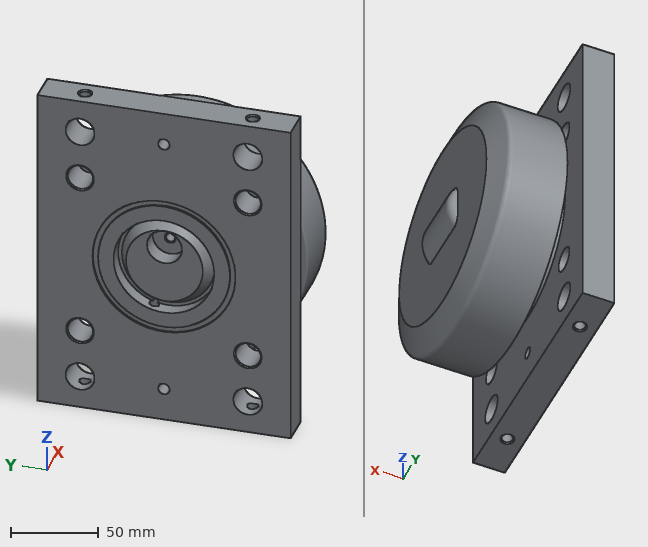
import cadquery as cq

PLATE_THICKNESS = 20.0
PLATE_WIDTH = 151.0
PLATE_HEIGHT = 200.0
HOLE_SPACING_Y = 100.0
CORNER_HOLE_SPACING_Z = 160.0
TAPPED_HOLE_SPACING_Z = 100.0
CORNER_HOLE_DIAMETER = 17.2
TAPPED_HOLE_DIAMETER = 15.0
TAPPED_HOLE_CHAMFER = 0.8
DOWEL_HOLE_DIAMETER = 6.8
SET_SCREW_DIAMETER = 6.5
SET_SCREW_CHAMFER = 0.8

HUB_DIAMETER = 103.2
COLLAR_START = 28.0
COLLAR_DIAMETER = 108.8
ROLLER_START = 29.5
ROLLER_DIAMETER = 153.8
ROLLER_CONE_START = 66.0
ROLLER_END = 73.2
ROLLER_END_DIAMETER = 120.5
ROLLER_BACK_FILLET = 1.2
ROLLER_SHOULDER_FILLET = 3.0

OVERALL_DEPTH = 78.5
SIDE_ROLLER_RADIUS = 25.5
SIDE_ROLLER_WIDTH = 41.5
SIDE_ROLLER_FILLET = 5.0

GROOVE_OUTER_DIAMETER = 85.2
GROOVE_INNER_DIAMETER = 78.5
GROOVE_DEPTH = 1.2
POCKET_DIAMETER = 60.0
POCKET_DEPTH = 9.0
BOSS_BASE_DIAMETER = 55.5
BOSS_TOP_DIAMETER = 45.8
BOSS_TOP_RECESS = 1.0

WALL_HOLE_DIAMETER = 5.5
WALL_HOLE_X = 6.5
WALL_HOLE_DEPTH = 8.0
WALL_HOLE_ANGLE = 15.0

LUBE_OFFSET_Z = 12.2
LUBE_BORE_DIAMETER = 20.8
LUBE_BORE_DEPTH = 11.5
LUBE_DUCT_DIAMETER = 5.5
LUBE_DUCT_DEPTH = 10.0
LUBE_DUCT_CHAMFER = 0.5
LUBE_DUCT_TIP = 1.5


def revolve_about_x(profile):
    """Turn a closed list of (x, radius) points about the X axis."""
    return cq.Workplane("XY").polyline(profile).close().revolve(360, (0, 0, 0), (1, 0, 0))


def x_cylinder(diameter, start, end):
    return cq.Workplane("YZ").workplane(offset=start).circle(diameter / 2).extrude(end - start)


def make_plate():
    return cq.Workplane("XY").box(
        PLATE_THICKNESS, PLATE_WIDTH, PLATE_HEIGHT, centered=(False, True, True)
    )


def make_roller():
    blank = revolve_about_x([
        (ROLLER_START, 0),
        (ROLLER_START, ROLLER_DIAMETER / 2),
        (ROLLER_CONE_START, ROLLER_DIAMETER / 2),
        (ROLLER_END, ROLLER_END_DIAMETER / 2),
        (ROLLER_END, 0),
    ])
    rounded_back = blank.edges("%CIRCLE").edges("<X").fillet(ROLLER_BACK_FILLET)
    return rounded_back.edges("%CIRCLE").edges(">>X[-2]").fillet(ROLLER_SHOULDER_FILLET)


def make_side_roller():
    return (
        cq.Workplane("XZ")
        .center(OVERALL_DEPTH - SIDE_ROLLER_RADIUS, 0)
        .circle(SIDE_ROLLER_RADIUS)
        .extrude(SIDE_ROLLER_WIDTH / 2, both=True)
        .edges("%CIRCLE")
        .fillet(SIDE_ROLLER_FILLET)
    )


def make_tapped_hole():
    """Through hole for the plate with a small countersink at the back face."""
    radius = TAPPED_HOLE_DIAMETER / 2
    return revolve_about_x([
        (0, 0),
        (0, radius + TAPPED_HOLE_CHAMFER),
        (TAPPED_HOLE_CHAMFER, radius),
        (PLATE_THICKNESS, radius),
        (PLATE_THICKNESS, 0),
    ])


def make_set_screw_hole():
    """Countersunk hole along Z, from the top edge of the plate to the axis of a corner hole."""
    radius = SET_SCREW_DIAMETER / 2
    edge_z = PLATE_HEIGHT / 2
    return (
        cq.Workplane("XZ")
        .polyline([
            (0, CORNER_HOLE_SPACING_Z / 2),
            (radius, CORNER_HOLE_SPACING_Z / 2),
            (radius, edge_z - SET_SCREW_CHAMFER),
            (radius + SET_SCREW_CHAMFER, edge_z),
            (0, edge_z),
        ])
        .close()
        .revolve(360, (0, 0, 0), (0, 1, 0))
        .translate((PLATE_THICKNESS / 2, 0, 0))
    )


def cut_plate_holes(body):
    corner_hole = x_cylinder(CORNER_HOLE_DIAMETER, 0, PLATE_THICKNESS)
    dowel_hole = x_cylinder(DOWEL_HOLE_DIAMETER, 0, PLATE_THICKNESS)
    tapped_hole = make_tapped_hole()
    top_screw_hole = make_set_screw_hole()
    bottom_screw_hole = top_screw_hole.mirror("XY")
    for z_side in (-1, 1):
        corner_z = z_side * CORNER_HOLE_SPACING_Z / 2
        tapped_z = z_side * TAPPED_HOLE_SPACING_Z / 2
        screw_hole = top_screw_hole if z_side > 0 else bottom_screw_hole
        body = body.cut(dowel_hole.translate((0, 0, corner_z)))
        for y_side in (-1, 1):
            y = y_side * HOLE_SPACING_Y / 2
            body = body.cut(corner_hole.translate((0, y, corner_z)))
            body = body.cut(tapped_hole.translate((0, y, tapped_z)))
            body = body.cut(screw_hole.translate((0, y, 0)))
    return body


def make_ring_groove():
    outer = x_cylinder(GROOVE_OUTER_DIAMETER, 0, GROOVE_DEPTH)
    return outer.cut(x_cylinder(GROOVE_INNER_DIAMETER, 0, GROOVE_DEPTH))


def make_pocket():
    """Round pocket that leaves a tapered boss standing on its floor."""
    boss = revolve_about_x([
        (BOSS_TOP_RECESS, 0),
        (BOSS_TOP_RECESS, BOSS_TOP_DIAMETER / 2),
        (POCKET_DEPTH, BOSS_BASE_DIAMETER / 2),
        (POCKET_DEPTH, 0),
    ])
    return x_cylinder(POCKET_DIAMETER, 0, POCKET_DEPTH).cut(boss)


def make_wall_hole():
    """Radial hole from the pocket wall, swung from -Z toward +Y."""
    inner_end = BOSS_BASE_DIAMETER / 2
    outer_end = POCKET_DIAMETER / 2 + WALL_HOLE_DEPTH
    return (
        cq.Workplane("XY")
        .workplane(offset=-inner_end)
        .center(WALL_HOLE_X, 0)
        .circle(WALL_HOLE_DIAMETER / 2)
        .extrude(inner_end - outer_end)
        .rotate((0, 0, 0), (1, 0, 0), WALL_HOLE_ANGLE)
    )


def make_lube_bore():
    """Stepped bore: a wide bore, then a narrow chamfered duct with a conical end."""
    bore_radius = LUBE_BORE_DIAMETER / 2
    duct_radius = LUBE_DUCT_DIAMETER / 2
    bore_floor = BOSS_TOP_RECESS + LUBE_BORE_DEPTH
    duct_end = bore_floor + LUBE_DUCT_DEPTH
    return revolve_about_x([
        (BOSS_TOP_RECESS, 0),
        (BOSS_TOP_RECESS, bore_radius),
        (bore_floor, bore_radius),
        (bore_floor, duct_radius + LUBE_DUCT_CHAMFER),
        (bore_floor + LUBE_DUCT_CHAMFER, duct_radius),
        (duct_end, duct_radius),
        (duct_end + LUBE_DUCT_TIP, 0),
    ]).translate((0, 0, LUBE_OFFSET_Z))


body = (
    make_plate()
    .union(x_cylinder(HUB_DIAMETER, PLATE_THICKNESS, COLLAR_START))
    .union(x_cylinder(COLLAR_DIAMETER, COLLAR_START, ROLLER_START))
    .union(make_roller())
    .union(make_side_roller())
)
body = cut_plate_holes(body)
result = body.cut(make_ring_groove()).cut(make_pocket()).cut(make_wall_hole()).cut(make_lube_bore())